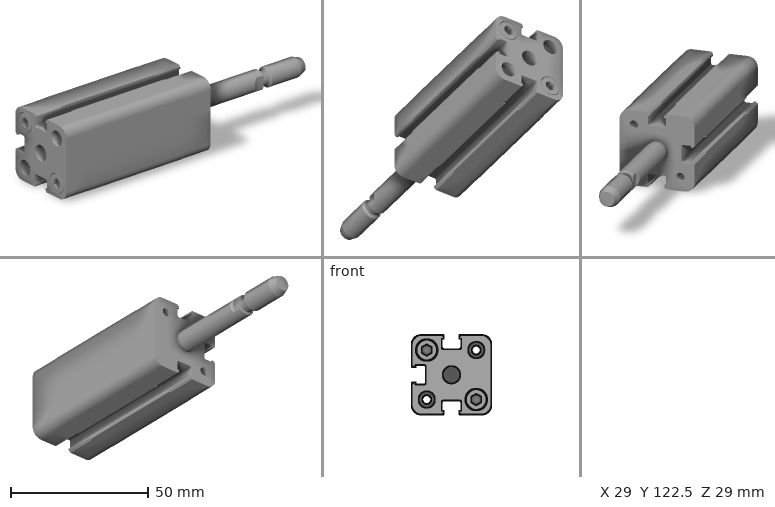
import cadquery as cq
import math

TOTAL_LENGTH = 122.5

HOUSING_SIDE = 29.0
HOUSING_LENGTH = 68.1
CAP_LENGTH = 12.2
CAP_CORNER_RADIUS = 3.8
TUBE_CORNER_RADIUS = 3.5

SLOT_WIDTH = 7.0
SLOT_DEPTH = 5.1
SLOT_FLOOR_RADIUS = 0.6
MOUTH_WIDTH = 5.5
LIP_THICKNESS = 1.5
CAP_LIP_CHAMFER = 0.7
TUBE_LIP_RADIUS = 0.4
SLOT_ANGLES = (0, 90, 180)

BORE_PITCH = 18.0
BORE_OFFSET = BORE_PITCH / 2
THREAD_DIAMETER = 6.0
THREAD_DEPTH = 3.5
THROUGH_DIAMETER = 3.2
CENTRE_BORE_DIAMETER = 6.4
CENTRE_BORE_DEPTH = CAP_LENGTH
SCREW_POCKET_DIAMETER = 8.0
SCREW_HEAD_DIAMETER = 7.5
SCREW_HEAD_HEIGHT = 4.0
SOCKET_CORNER_DIAMETER = 4.2
SOCKET_DEPTH = 2.5
SOCKET_TURN = 30
BORE_CENTRES = ((BORE_OFFSET, BORE_OFFSET), (-BORE_OFFSET, -BORE_OFFSET))
SCREW_CENTRES = ((-BORE_OFFSET, BORE_OFFSET), (BORE_OFFSET, -BORE_OFFSET))

ROD_DIAMETER = 8.0
NECK_DIAMETER = 5.8
TIP_TAPER_LENGTH = 3.1
STUD_TAPER_START = 16.7
NECK_START = 17.4
NECK_END = 20.0
FLAT_WIDTH = 6.0
FLAT_END = 23.5
FLAT_RUNOUT = (ROD_DIAMETER - FLAT_WIDTH) / 2
SHOULDER_CHAMFER = 0.2


def section(y):
    """Sketch plane across the axis: local x is +X, local y is +Z, negative depths run toward +Y."""
    return cq.Workplane(cq.Plane(origin=(0, y, 0), xDir=(1, 0, 0), normal=(0, -1, 0)))


def cylinder(diameter, depth, centres):
    """Cylinders sunk from the closed end face at the given (x, z) centres."""
    return section(0).pushPoints(centres).circle(diameter / 2).extrude(-depth)


def slot_cutter(y, length, rounded_lips):
    """Undercut slot open toward +Z, with either rounded or chamfered lip corners."""
    top = HOUSING_SIDE / 2
    floor = top - SLOT_DEPTH
    channel_height = SLOT_DEPTH - LIP_THICKNESS
    channel = (
        section(y)
        .center(0, floor + channel_height / 2)
        .rect(SLOT_WIDTH, channel_height)
        .extrude(-length)
        .edges("|Y and <Z")
        .fillet(SLOT_FLOOR_RADIUS)
    )
    half_mouth = MOUTH_WIDTH / 2
    flare = TUBE_LIP_RADIUS if rounded_lips else CAP_LIP_CHAMFER
    outer = (half_mouth + flare, top)
    inner = (half_mouth, top - flare)
    mouth = section(y).moveTo(-half_mouth, floor + channel_height / 2)
    mouth = mouth.lineTo(half_mouth, floor + channel_height / 2).lineTo(*inner)
    if rounded_lips:
        sagitta = flare * (1 - math.sqrt(0.5))
        mouth = mouth.threePointArc((half_mouth + sagitta, top - sagitta), outer)
        mouth = mouth.lineTo(-outer[0], top)
        mouth = mouth.threePointArc((-half_mouth - sagitta, top - sagitta), (-inner[0], inner[1]))
    else:
        mouth = mouth.lineTo(*outer).lineTo(-outer[0], top).lineTo(-inner[0], inner[1])
    return channel.union(mouth.close().extrude(-length))


def housing_stretch(y, length, is_tube):
    """Rounded square bar with slots along three sides, shaped as the tube or as an end cap."""
    corner_radius = TUBE_CORNER_RADIUS if is_tube else CAP_CORNER_RADIUS
    bar = section(y).rect(HOUSING_SIDE, HOUSING_SIDE).extrude(-length)
    bar = bar.edges("|Y").fillet(corner_radius)
    cutter = slot_cutter(y, length, rounded_lips=is_tube)
    for angle in SLOT_ANGLES:
        bar = bar.cut(cutter.rotate((0, 0, 0), (0, 1, 0), -angle))
    return bar


def make_housing():
    """Tube between two identical end caps."""
    near_cap = housing_stretch(0, CAP_LENGTH, is_tube=False)
    far_cap = near_cap.translate((0, HOUSING_LENGTH - CAP_LENGTH, 0))
    tube = housing_stretch(CAP_LENGTH, HOUSING_LENGTH - 2 * CAP_LENGTH, is_tube=True)
    return near_cap.union(tube).union(far_cap)


def cut_bores(body):
    """Centre bore, and stepped corner bores that pass through the housing."""
    body = body.cut(cylinder(CENTRE_BORE_DIAMETER, CENTRE_BORE_DEPTH, [(0, 0)]))
    body = body.cut(cylinder(THREAD_DIAMETER, THREAD_DEPTH, BORE_CENTRES))
    return body.cut(cylinder(THROUGH_DIAMETER, HOUSING_LENGTH, BORE_CENTRES))


def cut_screws(body):
    """Clearance ring around each flush screw head, and its hexagon socket."""
    clearance = cylinder(SCREW_POCKET_DIAMETER, SCREW_HEAD_HEIGHT, SCREW_CENTRES)
    clearance = clearance.cut(cylinder(SCREW_HEAD_DIAMETER, SCREW_HEAD_HEIGHT, SCREW_CENTRES))
    for x, z in SCREW_CENTRES:
        socket = section(0).polygon(6, SOCKET_CORNER_DIAMETER).extrude(-SOCKET_DEPTH)
        socket = socket.rotate((0, 0, 0), (0, 1, 0), SOCKET_TURN)
        body = body.cut(socket.translate((x, 0, z)))
    return body.cut(clearance)


def make_rod():
    """Turned rod with a tapered stud, an undercut neck and two spanner flats facing X."""
    rod_radius = ROD_DIAMETER / 2
    neck_radius = NECK_DIAMETER / 2
    rod = (
        cq.Workplane("XY")
        .moveTo(0, HOUSING_LENGTH)
        .lineTo(rod_radius, HOUSING_LENGTH)
        .lineTo(rod_radius, TOTAL_LENGTH - NECK_END - SHOULDER_CHAMFER)
        .lineTo(rod_radius - SHOULDER_CHAMFER, TOTAL_LENGTH - NECK_END)
        .lineTo(neck_radius, TOTAL_LENGTH - NECK_END)
        .lineTo(neck_radius, TOTAL_LENGTH - NECK_START)
        .lineTo(rod_radius, TOTAL_LENGTH - STUD_TAPER_START)
        .lineTo(rod_radius, TOTAL_LENGTH - TIP_TAPER_LENGTH)
        .lineTo(neck_radius, TOTAL_LENGTH)
        .lineTo(0, TOTAL_LENGTH)
        .close()
        .revolve(360, (0, 0, 0), (0, 1, 0))
    )
    flat = (
        cq.Workplane("XY")
        .moveTo(FLAT_WIDTH / 2, TOTAL_LENGTH - NECK_END)
        .lineTo(FLAT_WIDTH / 2, TOTAL_LENGTH - FLAT_END)
        .lineTo(rod_radius, TOTAL_LENGTH - FLAT_END - FLAT_RUNOUT)
        .lineTo(rod_radius, TOTAL_LENGTH - NECK_END)
        .close()
        .extrude(rod_radius, both=True)
    )
    return rod.cut(flat).cut(flat.mirror("YZ"))


body = cut_screws(cut_bores(make_housing()))
result = body.union(make_rod())